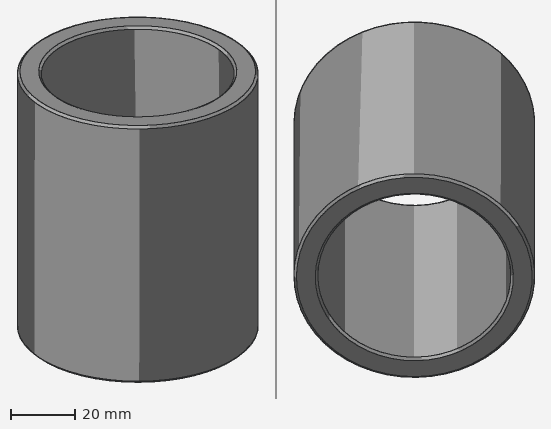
import cadquery as cq

length = 90.0
outer_diameter = 75.0
bore_diameter = 60.0
edge_chamfer = 0.8

sleeve = (
    cq.Workplane("XY")
    .circle(outer_diameter / 2)
    .circle(bore_diameter / 2)
    .extrude(length)
)

result = sleeve.faces("|Z").edges().chamfer(edge_chamfer)